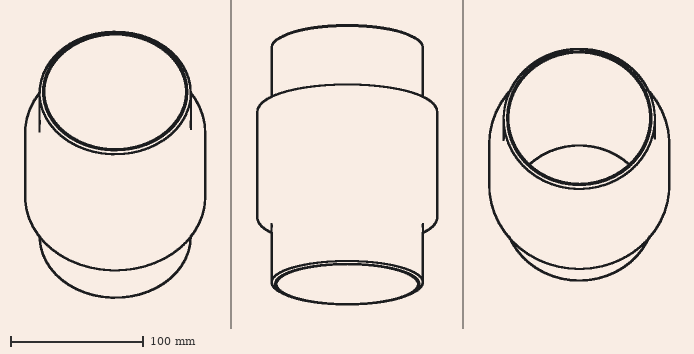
import cadquery as cq
import math

total_length = 188.0
sleeve_length = 88.0
sleeve_diameter = 136.3
pipe_diameter = 114.3
wall_thickness = 3.6
sleeve_edge_radius = 3.0
neck_fillet_radius = 3.0
end_land_width = 1.0
end_bevel_angle = 30.0

half_length = total_length / 2
sleeve_radius = sleeve_diameter / 2
pipe_radius = pipe_diameter / 2
bore_radius = pipe_radius - wall_thickness
end_land_radius = bore_radius + end_land_width
end_bevel_width = pipe_radius - end_land_radius
end_bevel_height = end_bevel_width * math.tan(math.radians(end_bevel_angle))
bevel_start_height = half_length - end_bevel_height


def beveled_pipe():
    """Full-length solid pipe body, bevelled around both ends."""
    half_section = [
        (0, -half_length),
        (end_land_radius, -half_length),
        (pipe_radius, -bevel_start_height),
        (pipe_radius, bevel_start_height),
        (end_land_radius, half_length),
        (0, half_length),
    ]
    section = cq.Workplane("XZ").polyline(half_section).close()
    return section.revolve(360, (0, 0, 0), (0, 1, 0))


def rounded_sleeve():
    """Thicker middle sleeve with both outer edges rounded."""
    sleeve = cq.Workplane("XY").cylinder(sleeve_length, sleeve_radius)
    return sleeve.edges("%CIRCLE").fillet(sleeve_edge_radius)


def fillet_necks(body):
    """Fillet the two inside corners where the pipe leaves the sleeve."""
    reach = pipe_radius + neck_fillet_radius
    zone_height = sleeve_length + 2 * neck_fillet_radius
    neck_zone = cq.selectors.BoxSelector(
        (-reach, -reach, -zone_height / 2),
        (reach, reach, zone_height / 2),
        boundingbox=True,
    )
    return body.edges("%CIRCLE").edges(neck_zone).fillet(neck_fillet_radius)


def bore():
    """Straight through bore."""
    return cq.Workplane("XY").cylinder(total_length, bore_radius)


result = fillet_necks(beveled_pipe().union(rounded_sleeve())).cut(bore())